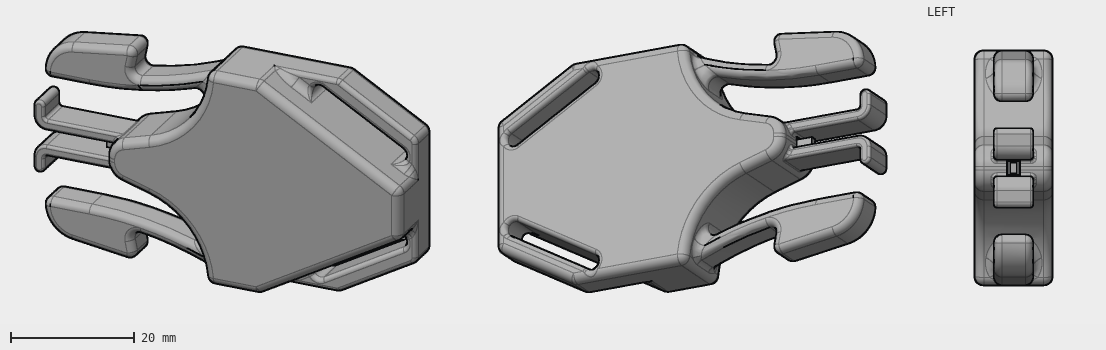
import cadquery as cq
import math

near = 0.01

length = 66.8
height = 38.1
thickness = 12.7
right_x = length / 2
left_x = -length / 2
top_z = height / 2
half_thickness = thickness / 2

housing_round = 1.5
nose_x = -19.0
nose_flat_half = 0.3
nose_radius = 3.6
flank_radius = 14.5
flank_center_x = -15.8
shoulder_x = flank_center_x + flank_radius
taper = math.radians(30)
front_taper_x = 8.1
frame_taper_x = 19.5
frame_round = 0.8
web_round = 1.5
frame_start_x = 4.0

slot_width = 2.55
slot_round = 0.8
rim_margin = 0.3
slot_start_x = 16.0
slot_end_x = 30.2

prong_width = 6.35
arm_round = 1.27
arm_corner_round = 1.3
arm_tip_x = -31.7
arm_inner_z = 10.78
arm_thickness = 2.55
arm_bend_x = -23.5
arm_bend_radius = 60.0
arm_end_x = 0.3
arm_nose_radius = 5.8
arm_nose_center_z = 11.9
arm_slope = math.radians(7.8)
barb_x = -15.1
barb_foot_x = -16.2
barb_foot_round = 1.2
arm_root_round = 1.5
arm_root_x = shoulder_x - arm_root_round

hook_inner_z = 1.35
hook_thickness = 1.9
hook_tip_z = 6.45
hook_bend_radius = 2.25
hook_inner_bend_radius = 0.545
hook_edge_round = 0.5
hook_root_round = 0.545
hook_end_x = -14.0

socket_size = 2.2
socket_depth = 3.0
pin_tip_x = -21.5
pin_width = 1.1
pin_height = 1.65
pin_base_width = 1.8
pin_base_recess = 1.0


def extrude_y(sketch, y_low, y_high):
    """Extrude an XZ outline between two Y planes."""
    return sketch.extrude(-(y_high - y_low)).translate((0, y_low, 0))


def taper_end_z(taper_x):
    """Height at the right-hand end of a taper that starts at taper_x."""
    return top_z - (right_x - taper_x) * math.tan(taper)


def housing_outline(taper_x):
    """Outline whose right-hand corners start to taper at taper_x."""
    end_z = taper_end_z(taper_x)
    nose_center = (nose_x + nose_radius, nose_flat_half)
    dx = flank_center_x - nose_center[0]
    dz = top_z - nose_center[1]
    lean = math.atan2(dz, dx) + math.acos((nose_radius + flank_radius) / math.hypot(dx, dz))

    def on_nose(angle):
        return (
            nose_center[0] + nose_radius * math.cos(angle),
            nose_center[1] + nose_radius * math.sin(angle),
        )

    def on_flank(angle):
        return (flank_center_x + flank_radius * math.cos(angle), top_z + flank_radius * math.sin(angle))

    def below(point):
        return (point[0], -point[1])

    nose_mid = on_nose((math.pi + lean) / 2)
    nose_end = on_nose(lean)
    flank_start = on_flank(lean - math.pi)
    flank_mid = on_flank((lean - math.pi) / 2)
    flank_end = on_flank(0)
    return (
        cq.Workplane("XZ")
        .moveTo(nose_x, -nose_flat_half)
        .lineTo(nose_x, nose_flat_half)
        .threePointArc(nose_mid, nose_end)
        .lineTo(*flank_start)
        .threePointArc(flank_mid, flank_end)
        .lineTo(taper_x, top_z)
        .lineTo(right_x, end_z)
        .lineTo(right_x, -end_z)
        .lineTo(taper_x, -top_z)
        .lineTo(*below(flank_end))
        .threePointArc(below(flank_mid), below(flank_start))
        .lineTo(*below(nose_end))
        .threePointArc(below(nose_mid), (nose_x, -nose_flat_half))
        .close()
    )


def pick_edges(body, test):
    """Select the edges of a body that pass a test."""
    return body.newObject([edge for edge in body.edges().vals() if test(edge)])


def lies_at_y(edge, y):
    """Tell whether an edge lies wholly in one Y plane."""
    box = edge.BoundingBox()
    return abs(box.ymin - y) < near and abs(box.ymax - y) < near


def taper_offset(x, z):
    """Distance of a point outward from the tapered side of the front half."""
    return (x - front_taper_x) * math.sin(taper) + (abs(z) - top_z) * math.cos(taper)


def rounded_block(taper_x, y_low, y_high):
    """Housing block with its shoulder, taper and end corners rounded."""
    block = extrude_y(housing_outline(taper_x), y_low, y_high)
    corners = [
        (shoulder_x, top_z),
        (taper_x, top_z),
        (right_x, taper_end_z(taper_x)),
    ]

    def is_corner(edge):
        if abs(edge.tangentAt(0).y) < 1 - near:
            return False
        center = edge.Center()
        return any(math.hypot(center.x - x, abs(center.z) - z) < near for x, z in corners)

    return pick_edges(block, is_corner).fillet(housing_round)


def build_core():
    """Main block, which runs through the full thickness."""
    core = rounded_block(front_taper_x, -half_thickness, half_thickness)
    return core.faces("<Y").edges().fillet(housing_round)


def build_frame():
    """Strap frame behind the tapered sides of the core."""
    frame = rounded_block(frame_taper_x, 0, half_thickness)
    right_part = cq.Workplane().box(
        right_x - frame_start_x, thickness, height, centered=(False, True, True)
    ).translate((frame_start_x, 0, 0))
    frame = frame.intersect(right_part)

    def is_outer_front(edge):
        return lies_at_y(edge, 0) and edge.Center().x > frame_start_x + near

    return pick_edges(frame, is_outer_front).fillet(frame_round)


def build_slot(side):
    """Cutter for the strap slot that lies along one tapered side."""
    mid_x = (slot_start_x + slot_end_x) / 2
    inset = slot_width / 2 / math.cos(taper)
    mid_z = top_z + inset - (mid_x - front_taper_x) * math.tan(taper)
    total_length = (slot_end_x - slot_start_x) / math.cos(taper) + slot_width
    return (
        cq.Workplane("XZ", origin=(mid_x, 0, side * mid_z))
        .transformed(rotate=(0, 0, -side * math.degrees(taper)))
        .slot2D(total_length, slot_width)
        .extrude(half_thickness, both=True)
    )


def round_slot_edges(body, y):
    """Round the rims of both strap slots on one face of the frame."""

    def is_rim(edge):
        center = edge.Center()
        offset = taper_offset(center.x, center.z)
        in_slot = rim_margin < offset < slot_width + rim_margin
        in_length = slot_start_x - slot_width < center.x < right_x - frame_round - near
        return lies_at_y(edge, y) and in_slot and in_length

    return pick_edges(body, is_rim).fillet(slot_round)


def build_shell():
    """Core and strap frame joined, without the arms and hooks."""
    shell = build_core().union(build_frame())

    def is_web_edge(edge):
        center = edge.Center()
        on_taper = abs(taper_offset(center.x, center.z)) < near
        return edge.geomType() == "LINE" and lies_at_y(edge, 0) and on_taper

    shell = pick_edges(shell, is_web_edge).fillet(web_round)
    shell = shell.faces(">Y").edges().fillet(housing_round)
    for side in (1, -1):
        shell = shell.cut(build_slot(side))
    shell = round_slot_edges(shell, 0)
    return round_slot_edges(shell, half_thickness)


def build_arm():
    """Upper latch arm: a curved beam with a barbed, rounded head."""
    outer_radius = arm_bend_radius - arm_thickness
    center_z = arm_inner_z + arm_bend_radius

    def on_bend(radius, x):
        return (x, center_z - math.sqrt(radius**2 - (x - arm_bend_x) ** 2))

    nose_center = (arm_tip_x + arm_nose_radius, arm_nose_center_z)

    def on_nose(angle):
        return (
            nose_center[0] + arm_nose_radius * math.cos(angle),
            nose_center[1] + arm_nose_radius * math.sin(angle),
        )

    nose_end_angle = math.pi / 2 + arm_slope
    nose_end = on_nose(nose_end_angle)
    barb_foot = on_bend(outer_radius, barb_foot_x)
    barb_run = barb_x - nose_end[0]
    barb_tip = (barb_x, nose_end[1] + barb_run * math.tan(arm_slope))
    bend_mid_x = (barb_foot_x + arm_end_x) / 2
    inner_mid_x = (arm_bend_x + arm_end_x) / 2
    outline = (
        cq.Workplane("XZ")
        .moveTo(arm_tip_x, arm_inner_z)
        .lineTo(arm_tip_x, nose_center[1])
        .threePointArc(on_nose((math.pi + nose_end_angle) / 2), nose_end)
        .lineTo(*barb_tip)
        .lineTo(*barb_foot)
        .threePointArc(on_bend(outer_radius, bend_mid_x), on_bend(outer_radius, arm_end_x))
        .lineTo(*on_bend(arm_bend_radius, arm_end_x))
        .threePointArc(on_bend(arm_bend_radius, inner_mid_x), (arm_bend_x, arm_inner_z))
        .close()
    )
    arm = extrude_y(outline, -prong_width / 2, prong_width / 2)

    def is_corner(point):
        def test(edge):
            center = edge.Center()
            return math.hypot(center.x - point[0], center.z - point[1]) < near

        return test

    arm = pick_edges(arm, is_corner(barb_foot)).fillet(barb_foot_round)
    arm = pick_edges(arm, is_corner(barb_tip)).fillet(arm_corner_round)
    arm = pick_edges(arm, is_corner((arm_tip_x, arm_inner_z))).fillet(arm_corner_round)
    return arm.faces("<Y or >Y").edges().fillet(arm_round)


def build_hook():
    """Upper guide hook: a flat strip whose tip bends outward."""
    outer_z = hook_inner_z + hook_thickness
    inner_x = left_x + hook_thickness
    outline = (
        cq.Workplane("XZ")
        .moveTo(hook_end_x, hook_inner_z)
        .lineTo(left_x + hook_bend_radius, hook_inner_z)
        .radiusArc((left_x, hook_inner_z + hook_bend_radius), hook_bend_radius)
        .lineTo(left_x, hook_tip_z - hook_thickness / 2)
        .radiusArc((inner_x, hook_tip_z - hook_thickness / 2), hook_thickness / 2)
        .lineTo(inner_x, outer_z + hook_inner_bend_radius)
        .radiusArc((inner_x + hook_inner_bend_radius, outer_z), -hook_inner_bend_radius)
        .lineTo(hook_end_x, outer_z)
        .close()
    )
    hook = extrude_y(outline, -prong_width / 2, prong_width / 2)
    return hook.faces("<Y or >Y").edges().fillet(hook_edge_round)


def round_prong_roots(body, x_low, x_high, z_low, radius):
    """Blend the joints between the prongs and the housing in one stretch of X."""

    def is_root(edge):
        box = edge.BoundingBox()
        in_prong = max(-box.ymin, box.ymax) < prong_width / 2 + near
        in_stretch = x_low < box.xmin and box.xmax < x_high + near
        return in_prong and in_stretch and abs(edge.Center().z) > z_low - near

    return pick_edges(body, is_root).fillet(radius)


def centered_bar(start_x, bar_length, width, bar_height):
    """Rectangular bar along X, centred on the X axis."""
    return cq.Workplane("YZ", origin=(start_x, 0, 0)).rect(width, bar_height).extrude(bar_length)


def build_housing():
    """Shell with its arms, hooks and the socket for the pin."""
    housing = build_shell()
    for prong in (build_arm(), build_hook()):
        housing = housing.union(prong).union(prong.mirror("XY"))
    nose_center_x = nose_x + nose_radius
    housing = round_prong_roots(housing, nose_x, nose_center_x, hook_inner_z, hook_root_round)
    housing = round_prong_roots(housing, arm_root_x, shoulder_x, arm_inner_z, arm_root_round)
    socket_length = nose_x + socket_depth - pin_tip_x
    socket = centered_bar(pin_tip_x, socket_length, socket_size, socket_size)
    return housing.cut(socket)


def build_pin():
    """Stepped contact pin whose wider base sits in the socket."""
    base_x = nose_x + pin_base_recess
    end_x = nose_x + socket_depth
    base = centered_bar(base_x, end_x - base_x, pin_base_width, socket_size)
    shank = centered_bar(pin_tip_x, base_x - pin_tip_x, pin_width, pin_height)
    return base.union(shank)


housing = build_housing()
pin = build_pin()
result = cq.Compound.makeCompound([housing.val(), pin.val()])